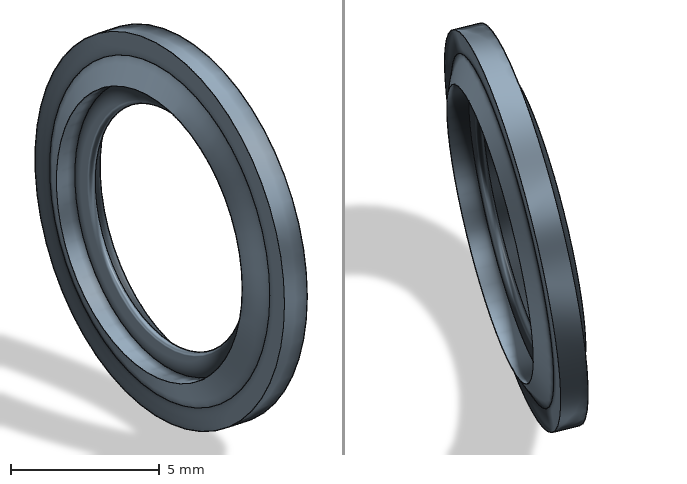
import cadquery as cq


ring_radius = 6.98
ring_thickness = 0.96
joint_radius = 6.16

seal_width = 1.85
crest_radius = 5.2
lip_tip_radius = 4.35
lip_thickness = 0.3

half_ring = ring_thickness / 2
half_seal = seal_width / 2
half_lip = lip_thickness / 2
lip_round_start = lip_tip_radius + half_lip


def revolve_about_y(profile):
    """Turn a closed XY profile a full circle around the Y axis."""
    return profile.close().revolve(360, (0, 0, 0), (0, 1, 0))


def make_outer_ring():
    profile = (
        cq.Workplane("XY")
        .moveTo(joint_radius, -half_ring)
        .lineTo(ring_radius, -half_ring)
        .lineTo(ring_radius, half_ring)
        .lineTo(joint_radius, half_ring)
    )
    return revolve_about_y(profile)


def make_seal():
    """Seal with conical flanks, a stepped bore and a thin rounded lip at mid-width."""
    profile = (
        cq.Workplane("XY")
        .moveTo(joint_radius, -half_ring)
        .lineTo(joint_radius, half_ring)
        .lineTo(crest_radius, half_seal)
        .lineTo(crest_radius, half_lip)
        .lineTo(lip_round_start, half_lip)
        .threePointArc((lip_tip_radius, 0), (lip_round_start, -half_lip))
        .lineTo(crest_radius, -half_lip)
        .lineTo(crest_radius, -half_seal)
    )
    return revolve_about_y(profile)


outer_ring = make_outer_ring()
seal = make_seal()

result = cq.Compound.makeCompound([outer_ring.val(), seal.val()])